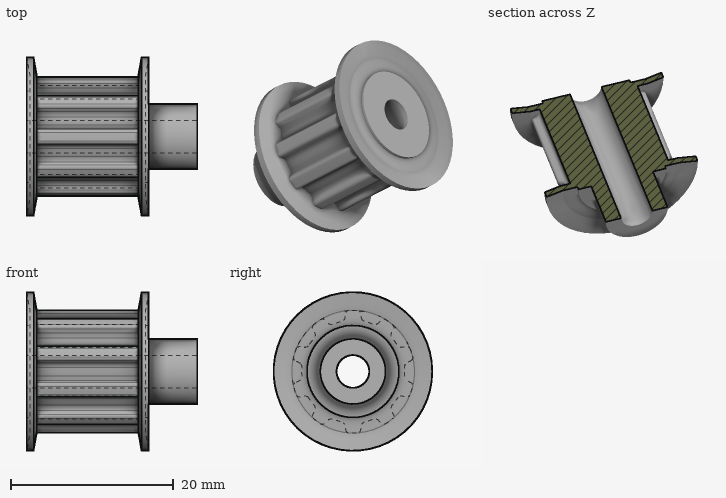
import cadquery as cq
import math

TOTAL_LENGTH = 21.0
PULLEY_LENGTH = 15.0
HUB_DIAMETER = 8.0
BORE_DIAMETER = 4.0

FLANGE_DIAMETER = 19.5
RIM_WIDTH = 0.86
DISH_DEPTH = 0.4
SHOULDER_DIAMETER = 11.3

TOOTH_COUNT = 10
TIP_RADIUS = 7.54
ROOT_RADIUS = 6.32
GAP_ROOT_WIDTH = 1.8
FLANK_ANGLE = 28.0
ROOT_FILLET = 0.6
TIP_FILLET = 0.42

WEB_RADIUS = TIP_RADIUS
FLANGE_DEPTH = RIM_WIDTH + DISH_DEPTH
TOOTH_ANGLE = 360.0 / TOOTH_COUNT
CUTTER_OUTER_RADIUS = 1.1 * TIP_RADIUS
TOLERANCE = 0.002
X_AXIS_START = (0, 0, 0)
X_AXIS_END = (1, 0, 0)


def cylinder(diameter, x_start, x_end):
    """Round bar on the X axis between two X positions."""
    bar = cq.Workplane("YZ").circle(diameter / 2).extrude(x_end - x_start)
    return bar.translate((x_start, 0, 0))


def tooth_gap(length):
    """Prism of one sharp-cornered gap between teeth, centred on the -Y direction."""
    half_root = GAP_ROOT_WIDTH / 2
    corner_y = -math.sqrt(ROOT_RADIUS**2 - half_root**2)
    outer_y = -CUTTER_OUTER_RADIUS
    half_outer = half_root + (corner_y - outer_y) * math.tan(math.radians(FLANK_ANGLE))
    return (
        cq.Workplane("YZ")
        .moveTo(corner_y, -half_root)
        .threePointArc((-ROOT_RADIUS, 0), (corner_y, half_root))
        .lineTo(outer_y, half_outer)
        .lineTo(outer_y, -half_outer)
        .close()
        .extrude(length)
    )


def toothed_section():
    """Toothed bar between the flanges, with rounded roots and tips."""
    length = PULLEY_LENGTH - 2 * FLANGE_DEPTH
    teeth = cylinder(2 * TIP_RADIUS, 0, length)
    gap = tooth_gap(length)
    for index in range(TOOTH_COUNT):
        teeth = teeth.cut(gap.rotate(X_AXIS_START, X_AXIS_END, index * TOOTH_ANGLE))

    middle_radius = (ROOT_RADIUS + TIP_RADIUS) / 2

    def axis_distance(edge):
        return math.hypot(edge.Center().y, edge.Center().z)

    root_edges = teeth.edges("|X").filter(lambda edge: axis_distance(edge) < middle_radius)
    teeth = root_edges.fillet(ROOT_FILLET)
    tip_edges = teeth.edges("|X").filter(lambda edge: axis_distance(edge) > TIP_RADIUS - TOLERANCE)
    teeth = tip_edges.fillet(TIP_FILLET)
    return teeth.translate((FLANGE_DEPTH, 0, 0))


def flange():
    """Dished flange at X = 0: its cone leans inward from the rim to a flat web."""
    rim = FLANGE_DIAMETER / 2
    profile = [
        (DISH_DEPTH, 0),
        (DISH_DEPTH, WEB_RADIUS),
        (0, rim),
        (RIM_WIDTH, rim),
        (FLANGE_DEPTH, WEB_RADIUS),
        (FLANGE_DEPTH, 0),
    ]
    disc = cq.Workplane("XY").polyline(profile).close().revolve(360, X_AXIS_START, X_AXIS_END)
    return disc.union(cylinder(SHOULDER_DIAMETER, 0, FLANGE_DEPTH))


near_flange = flange()
far_flange = near_flange.mirror("YZ").translate((PULLEY_LENGTH, 0, 0))
hub = cylinder(HUB_DIAMETER, PULLEY_LENGTH - FLANGE_DEPTH, TOTAL_LENGTH)
bore = cylinder(BORE_DIAMETER, 0, TOTAL_LENGTH)

result = toothed_section().union(near_flange).union(far_flange).union(hub).cut(bore)